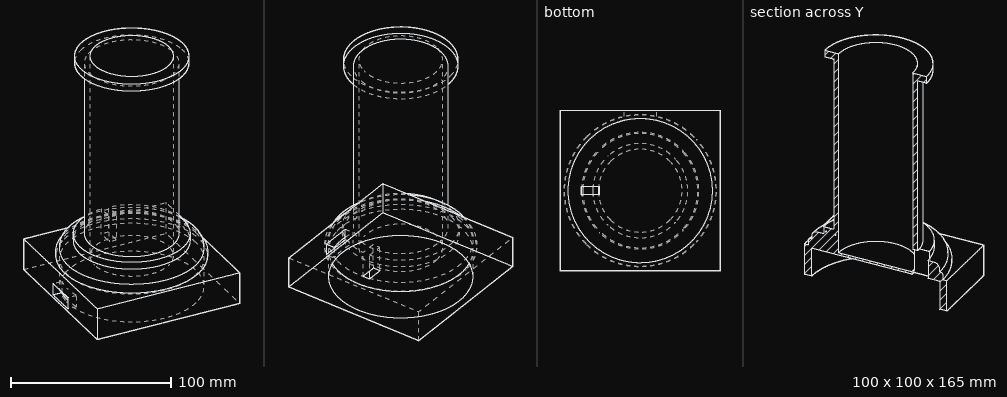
import cadquery as cq

plinth_side = 100.0
plinth_height = 22.0
cavity_diameter = 90.0
cavity_roof_thickness = 2.0

lower_ring_diameter = 95.0
lower_ring_height = 6.0
lower_ring_sunk_depth = 1.0
lower_ring_round = 2.0
upper_ring_diameter = 90.0
upper_ring_height = 6.0
upper_ring_round = 4.0
collar_diameter = 73.0
collar_height = 5.0

total_height = 165.0
column_diameter = 59.0
bore_diameter = 52.0
flange_diameter = 71.5
flange_thickness = 5.0

window_width = 20.0
window_height = 8.0
window_sill_z = 2.0

channel_width = 5.0
channel_outer_overlap = 0.2
channel_bore_overlap = 0.5

lower_ring_bottom_z = plinth_height - lower_ring_sunk_depth
lower_ring_top_z = lower_ring_bottom_z + lower_ring_height
upper_ring_top_z = lower_ring_top_z + upper_ring_height
collar_top_z = upper_ring_top_z + collar_height
bore_floor_z = plinth_height
cavity_roof_z = bore_floor_z - cavity_roof_thickness


def disc(diameter, bottom_z, top_z):
    """Upright cylinder on the Z axis between two levels."""
    return cq.Workplane("XY").workplane(offset=bottom_z).circle(diameter / 2).extrude(top_z - bottom_z)


def make_plinth():
    return cq.Workplane("XY").box(plinth_side, plinth_side, plinth_height, centered=(True, True, False))


def make_mouldings():
    """Two rounded rings and a plain collar; the lower ring sits slightly into the plinth."""
    lower_ring = disc(lower_ring_diameter, lower_ring_bottom_z, lower_ring_top_z)
    lower_ring = lower_ring.faces("<Z or >Z").edges().fillet(lower_ring_round)
    upper_ring = disc(upper_ring_diameter, lower_ring_top_z, upper_ring_top_z)
    upper_ring = upper_ring.faces(">Z").edges().fillet(upper_ring_round)
    collar = disc(collar_diameter, upper_ring_top_z, collar_top_z)
    return lower_ring.union(upper_ring).union(collar)


def make_column():
    """Solid shaft with its top flange, before boring."""
    shaft = disc(column_diameter, collar_top_z, total_height)
    flange = disc(flange_diameter, total_height - flange_thickness, total_height)
    return shaft.union(flange)


def make_window():
    """Cutter from the -Y face of the plinth into the cavity."""
    window = cq.Workplane("XY").box(
        window_width, plinth_side / 2, window_height, centered=(True, False, False)
    )
    return window.translate((0, -plinth_side / 2, window_sill_z))


def make_cable_channel():
    """Upright cutter from the cavity to the top of the collar, opening into the bore."""
    outer_x = -(collar_diameter / 2 + channel_outer_overlap)
    inner_x = -(bore_diameter / 2 - channel_bore_overlap)
    channel = cq.Workplane("XY").box(
        inner_x - outer_x, channel_width, collar_top_z, centered=(False, True, False)
    )
    return channel.translate((outer_x, 0, 0))


bore = disc(bore_diameter, bore_floor_z, total_height)
cavity = disc(cavity_diameter, 0, cavity_roof_z)

result = (
    make_plinth()
    .union(make_mouldings())
    .union(make_column())
    .cut(bore)
    .cut(cavity)
    .cut(make_window())
    .cut(make_cable_channel())
)